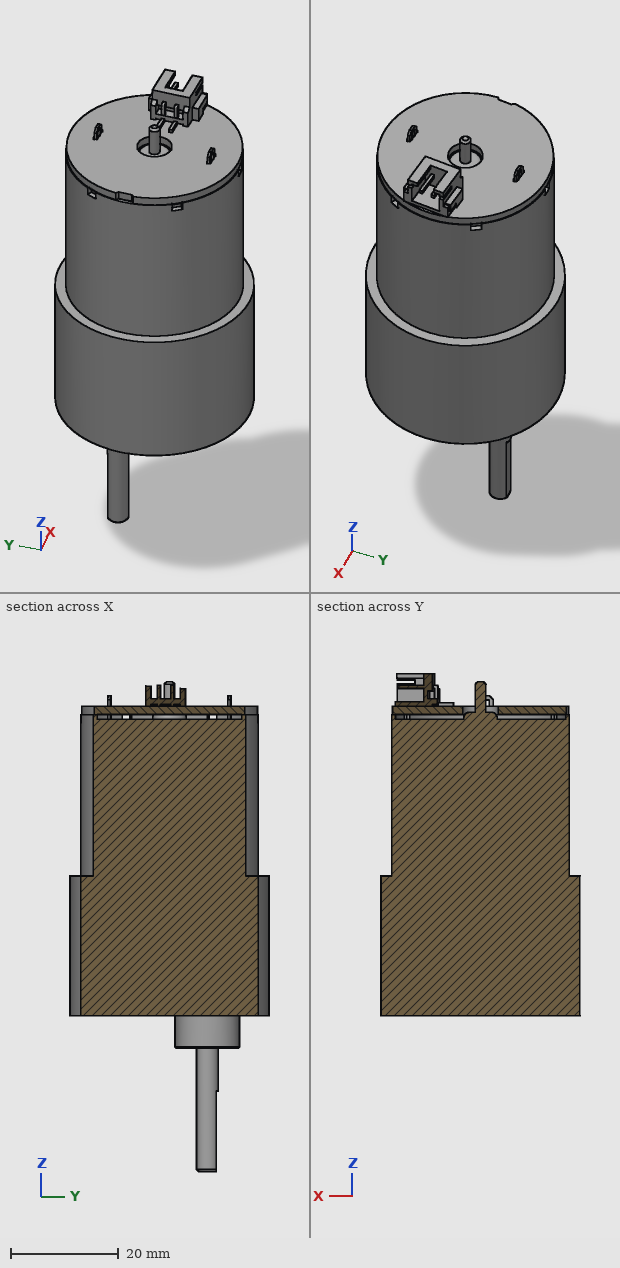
import cadquery as cq
import math

TOTAL_HEIGHT = 92.6
CONNECTOR_HEIGHT = 6.0
BOARD_THICKNESS = 1.6
BOARD_TOP = TOTAL_HEIGHT - CONNECTOR_HEIGHT
CAN_TOP = BOARD_TOP - BOARD_THICKNESS
BOSS_BOTTOM = 23.0
GEARBOX_BOTTOM = 29.0
GEARBOX_TOP = 55.0

GEARBOX_RADIUS = 18.5
CAN_RADIUS = 33.1 / 2
OUTPUT_OFFSET = 7.0
BOSS_RADIUS = 6.0
BOSS_CHAMFER = 0.3
OUTPUT_RADIUS = 2.0
OUTPUT_CHAMFER = 0.5
FLAT_LENGTH = 15.0
FLAT_DEPTH = 0.4
RIM_WALL = 0.7
RIM_HEIGHT = 0.8
VENT_COUNT = 6
VENT_WIDTH = 2.0
VENT_DEPTH = 1.5
VENT_REACH = 1.0
BEARING_RADIUS = 3.15
BEARING_ROUNDING = 1.1
BEARING_TOP = CAN_TOP + 0.5
REAR_SHAFT_RADIUS = 1.0
REAR_SHAFT_TOP = BOARD_TOP + 4.5
REAR_SHAFT_CHAMFER = 0.5

BOARD_TURN = -5.0
TERMINAL_RADIUS = 11.2
TERMINAL_WIDTH = 2.8
TERMINAL_THICKNESS = 0.5
TERMINAL_HEIGHT = 1.9
TERMINAL_CORNER = 0.7
WINDOW_WIDTH = 1.3
WINDOW_HEIGHT = 1.1

BOARD_RADIUS = 32.8 / 2
BOARD_HOLE_RADIUS = 3.2
TERMINAL_SLOT_LENGTH = 3.4
TERMINAL_SLOT_WIDTH = 0.8
NOTCH_FLOOR = 15.8
NOTCH_INNER_WIDTH = 2.6
NOTCH_OUTER_WIDTH = 3.5

HOUSING_BACK = 8.9
HOUSING_FRONT = 15.8
HOUSING_WIDTH = 7.4
CAVITY_WALL = 0.8
CAVITY_BACK = 10.6
KEY_SLOT_WIDTH = 3.4
SIDE_SLOT_BACK = 12.5
SIDE_SLOT_BOTTOM = 4.2
SIDE_SLOT_TOP = 4.8
WING_BACK = 8.0
WING_WIDTH = 1.0
WING_LOW_HEIGHT = 3.15
WING_HIGH_HEIGHT = 3.9
LEDGE_BOTTOM = 0.3
LEDGE_TOP = 1.4
BACK_POCKET_TOP = 2.8
BACK_POCKET_DEPTH = 0.8
EAR_BACK = 10.4
EAR_STEP = 12.9
EAR_FRONT = 15.2
EAR_HEIGHT = 2.8
EAR_CUT_HEIGHT = 1.1
EAR_SPAN = 9.8
EAR_WEB_HEIGHT = 2.5
EAR_WEB_SPAN = 9.3
PIN_PITCH = 2.5
PIN_SIZE = 0.65
PIN_FOOT_BACK = 5.2
PIN_RISER_BACK = 8.1
PIN_TOP = WING_HIGH_HEIGHT
PIN_FRONT = 15.4
PIN_BEND = 0.3


def cylinder(radius, bottom, top, y=0.0):
    return cq.Workplane("XY", origin=(0, y, bottom)).circle(radius).extrude(top - bottom)


def block(x_range, y_range, z_range):
    size = [high - low for low, high in (x_range, y_range, z_range)]
    corner = (x_range[0], y_range[0], z_range[0])
    return cq.Workplane("XY").box(*size, centered=False).translate(corner)


def centred_block(x_range, width, z_range):
    return block(x_range, (-width / 2, width / 2), z_range)


def turn_with_board(shape):
    return shape.rotate((0, 0, 0), (0, 0, 1), BOARD_TURN)


def output_shaft():
    shaft = cylinder(OUTPUT_RADIUS, 0, BOSS_BOTTOM, OUTPUT_OFFSET)
    shaft = shaft.faces("<Z").chamfer(OUTPUT_CHAMFER)
    flat_y = OUTPUT_OFFSET + OUTPUT_RADIUS - FLAT_DEPTH
    return shaft.cut(
        block((-OUTPUT_RADIUS, OUTPUT_RADIUS), (flat_y, flat_y + OUTPUT_RADIUS), (0, FLAT_LENGTH))
    )


def motor_can():
    can = cylinder(CAN_RADIUS, GEARBOX_TOP, CAN_TOP)
    can = can.cut(cylinder(CAN_RADIUS - RIM_WALL, CAN_TOP - RIM_HEIGHT, CAN_TOP))
    vent = centred_block(
        (CAN_RADIUS - VENT_REACH, CAN_RADIUS + VENT_REACH), VENT_WIDTH, (CAN_TOP - VENT_DEPTH, CAN_TOP)
    )
    for index in range(VENT_COUNT):
        angle = (index + 0.5) * 360 / VENT_COUNT
        can = can.cut(vent.rotate((0, 0, 0), (0, 0, 1), angle))
    return can


def terminal(side):
    """One arched blade on the +Y (side = 1) or -Y (side = -1) half."""
    bottom = CAN_TOP - RIM_HEIGHT
    half_thickness = TERMINAL_THICKNESS / 2
    blade = (
        block(
            (-TERMINAL_WIDTH / 2, TERMINAL_WIDTH / 2),
            (-half_thickness, half_thickness),
            (bottom, BOARD_TOP + TERMINAL_HEIGHT),
        )
        .edges("|Y and >Z")
        .chamfer(TERMINAL_CORNER)
    )
    window = block(
        (-WINDOW_WIDTH / 2, WINDOW_WIDTH / 2),
        (-half_thickness, half_thickness),
        (CAN_TOP, BOARD_TOP + WINDOW_HEIGHT),
    )
    return turn_with_board(blade.cut(window).translate((0, side * TERMINAL_RADIUS, 0)))


def make_gearmotor():
    boss = cylinder(BOSS_RADIUS, BOSS_BOTTOM, GEARBOX_BOTTOM, OUTPUT_OFFSET)
    boss = boss.faces("<Z").chamfer(BOSS_CHAMFER)
    bearing = cylinder(BEARING_RADIUS, CAN_TOP - RIM_HEIGHT, BEARING_TOP)
    bearing = bearing.faces(">Z").edges().fillet(BEARING_ROUNDING)
    rear_shaft = cylinder(REAR_SHAFT_RADIUS, CAN_TOP - RIM_HEIGHT, REAR_SHAFT_TOP)
    rear_shaft = rear_shaft.faces(">Z").chamfer(REAR_SHAFT_CHAMFER)
    motor = cylinder(GEARBOX_RADIUS, GEARBOX_BOTTOM, GEARBOX_TOP)
    for piece in (boss, output_shaft(), motor_can(), bearing, rear_shaft, terminal(1), terminal(-1)):
        motor = motor.union(piece)
    return motor


def make_board():
    board = cylinder(BOARD_RADIUS, CAN_TOP, BOARD_TOP)
    board = board.cut(cylinder(BOARD_HOLE_RADIUS, CAN_TOP, BOARD_TOP))
    terminal_slots = (
        cq.Workplane("XY", origin=(0, 0, CAN_TOP))
        .pushPoints([(0, TERMINAL_RADIUS), (0, -TERMINAL_RADIUS)])
        .slot2D(TERMINAL_SLOT_LENGTH, TERMINAL_SLOT_WIDTH)
        .extrude(BOARD_THICKNESS)
    )
    notch_mouth = math.sqrt(BOARD_RADIUS**2 - (NOTCH_OUTER_WIDTH / 2) ** 2)
    notch = (
        cq.Workplane("XY", origin=(0, 0, CAN_TOP))
        .polyline([
            (-NOTCH_FLOOR, -NOTCH_INNER_WIDTH / 2),
            (-NOTCH_FLOOR, NOTCH_INNER_WIDTH / 2),
            (-notch_mouth, NOTCH_OUTER_WIDTH / 2),
            (-CAN_RADIUS, NOTCH_OUTER_WIDTH / 2),
            (-CAN_RADIUS, -NOTCH_OUTER_WIDTH / 2),
            (-notch_mouth, -NOTCH_OUTER_WIDTH / 2),
        ])
        .close()
        .extrude(BOARD_THICKNESS)
    )
    return turn_with_board(board.cut(terminal_slots).cut(notch))


def housing_shell():
    """Box open to the front, with a key slot in the roof and a slot in each side wall."""
    shell = centred_block((HOUSING_BACK, HOUSING_FRONT), HOUSING_WIDTH, (0, CONNECTOR_HEIGHT))
    cavity = centred_block(
        (CAVITY_BACK, HOUSING_FRONT),
        HOUSING_WIDTH - 2 * CAVITY_WALL,
        (CAVITY_WALL, CONNECTOR_HEIGHT - CAVITY_WALL),
    )
    key_slot = centred_block(
        (CAVITY_BACK, HOUSING_FRONT), KEY_SLOT_WIDTH, (CAVITY_WALL, CONNECTOR_HEIGHT)
    )
    side_slots = centred_block(
        (SIDE_SLOT_BACK, HOUSING_FRONT), HOUSING_WIDTH, (SIDE_SLOT_BOTTOM, SIDE_SLOT_TOP)
    )
    back_pocket = centred_block(
        (HOUSING_BACK, HOUSING_BACK + BACK_POCKET_DEPTH),
        HOUSING_WIDTH - 2 * WING_WIDTH,
        (LEDGE_TOP, BACK_POCKET_TOP),
    )
    return shell.cut(cavity).cut(key_slot).cut(side_slots).cut(back_pocket)


def back_frame():
    """Sloped wing at each back corner, joined by a low ledge."""
    wings = (
        cq.Workplane("XZ", origin=(0, HOUSING_WIDTH / 2, 0))
        .polyline([
            (WING_BACK, 0),
            (HOUSING_BACK, 0),
            (HOUSING_BACK, WING_HIGH_HEIGHT),
            (WING_BACK, WING_LOW_HEIGHT),
        ])
        .close()
        .extrude(HOUSING_WIDTH)
    )
    inner_width = HOUSING_WIDTH - 2 * WING_WIDTH
    gap = centred_block((WING_BACK, HOUSING_BACK), inner_width, (0, WING_HIGH_HEIGHT))
    ledge = centred_block((WING_BACK, HOUSING_BACK), inner_width, (LEDGE_BOTTOM, LEDGE_TOP))
    return wings.cut(gap).union(ledge)


def side_ears():
    """Mounting ears on both sides, as one bar across the housing with the middle removed."""
    ears = centred_block((EAR_BACK, EAR_FRONT), EAR_SPAN, (0, EAR_HEIGHT))
    ears = ears.cut(centred_block((EAR_STEP, EAR_FRONT), EAR_SPAN, (0, EAR_CUT_HEIGHT)))
    ears = ears.union(centred_block((EAR_BACK, HOUSING_FRONT), EAR_WEB_SPAN, (0, EAR_WEB_HEIGHT)))
    return ears.cut(centred_block((EAR_BACK, HOUSING_FRONT), HOUSING_WIDTH, (0, EAR_HEIGHT)))


def pin(y):
    """Square pin: a foot on the board, a riser behind the housing and a contact in the cavity."""
    sides = (y - PIN_SIZE / 2, y + PIN_SIZE / 2)
    foot = block((PIN_FOOT_BACK, PIN_RISER_BACK + PIN_SIZE), sides, (0, PIN_SIZE))
    riser = block((PIN_RISER_BACK, PIN_RISER_BACK + PIN_SIZE), sides, (0, PIN_TOP))
    contact = block((PIN_RISER_BACK, PIN_FRONT), sides, (PIN_TOP - PIN_SIZE, PIN_TOP))
    contact = contact.union(riser).edges("|Y and <X and >Z").fillet(PIN_BEND)
    return contact.union(foot)


def make_connector():
    connector = housing_shell().union(back_frame()).union(side_ears())
    for y in (-PIN_PITCH / 2, PIN_PITCH / 2):
        connector = connector.union(pin(y))
    return turn_with_board(connector.translate((0, 0, BOARD_TOP)))


gearmotor = make_gearmotor()
board = make_board()
connector = make_connector()

result = cq.Compound.makeCompound([gearmotor.val(), board.val(), connector.val()])